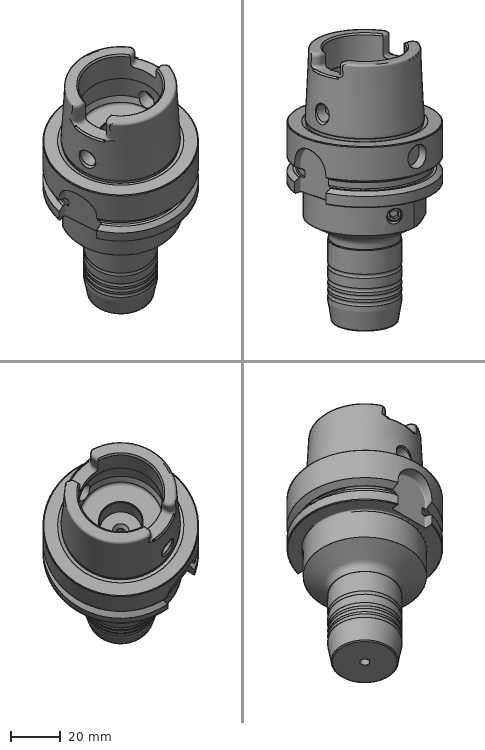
import cadquery as cq
import math


TOTAL_LENGTH = 116.9
FLANGE_TOP = 85.2
FLANGE_BOTTOM = 59.0
BODY_BOTTOM = 44.9
NOSE_STEP = 35.4

TAPER_MOUTH_RADIUS = 22.7
TAPER_BASE_RADIUS = 24.1
TAPER_BASE_Z = 87.2
TAPER_RIM_FILLET = 1.0
BAND_BOTTOM = 86.2
RELIEF_RADIUS = 23.7
RELIEF_DEPTH = 0.7
RELIEF_CONE_RADIUS = 24.4
RELIEF_MOUTH_RADIUS = 25.5
RELIEF_MOUTH_DEPTH = 0.4

FLANGE_RADIUS = 31.5
FLANGE_CHAMFER = 0.4
GROOVE_TOP = 70.6
GROOVE_BOTTOM = 64.0
GROOVE_RADIUS = 27.4
GROOVE_LEDGE_TOP = 68.9
GROOVE_LEDGE_BOTTOM = 65.3
GROOVE_FILLET = 0.5

BODY_RADIUS = 24.9
BODY_FILLET = 0.6
NECK_RADIUS = 14.6
NECK_FILLET = 3.3
NOSE_RADIUS = 15.0
NOSE_STEP_CHAMFER = 0.4
TIP_RADIUS = 13.6
TIP_TAPER_LENGTH = 8.8
TIP_CHAMFER = 0.5
RING_GROOVE_CENTRES = (12.0, 15.0, 18.0, 24.1)
RING_GROOVE_WIDTH = 1.8
RING_GROOVE_DEPTH = 0.4

BORE_RADIUS = 17.1
BORE_CHAMFER = 0.7
SHOULDER_Z = 103.7
UNDERCUT_RADIUS = 18.5
UNDERCUT_BOTTOM = 92.7
BORE_FLOOR_Z = 89.0
BORE_FLOOR_FILLET = 1.3
THREAD_RADIUS = 8.7
THREAD_CHAMFER = 0.4
THREAD_DEPTH = 9.4
COOLANT_RADIUS = 2.0
COOLANT_MOUTH_RADIUS = 3.4

NOTCH_HALF_WIDTH = 6.2
NOTCH_CORNER_RADIUS = 2.8
NOTCH_CORNER_Y = 18.0
NOTCH_FLARE_ANGLE = 27.0
NOTCH_FILLET = 1.5
NOTCH_RIM_FILLET = 1.4
FRONT_NOTCH_FLOOR = 107.0
BACK_NOTCH_FLOOR = 110.8
NOTCH_LIP_CHAMFER = 0.7
NOTCH_LIP_WIDTH = 14.7
NOTCH_REACH_X = 17.5
NOTCH_OUTER_Y = -FLANGE_RADIUS
NOTCH_INNER_Y = -NOTCH_CORNER_Y / 2

CROSS_HOLE_RADIUS = 3.7
CROSS_HOLE_Z = 94.1
CROSS_HOLE_SINK_START = 23.0
KEYWAY_HALF_WIDTH = 9.2
KEYWAY_TOP = 80.8
KEYWAY_FLOOR_Y = 26.4
KEYWAY_FILLET = 0.6
CHIP_HOLE_RADIUS = 5.0
CHIP_HOLE_Z = 78.1
CHIP_HOLE_DEPTH = 4.6
FLAT_DISTANCE = 23.0
FLAT_ANGLE = 212.4
FLAT_TOP = FLANGE_BOTTOM - BODY_FILLET

SCREW_HOLE_RADIUS = 3.3
SCREW_MOUTH_Y = 6.0
SCREW_Z = 52.1
SCREW_ANGLE = 143.0
SCREW_RECESS = 2.2
SCREW_LENGTH = 9.4
SCREW_CHAMFER = 0.6
SOCKET_ACROSS_FLATS = 3.4
SOCKET_DEPTH = 2.3

CONE_SLOPE = math.radians(30)
CLEARANCE = 11.7


def revolve_about_axis(outline):
    """Close an outline drawn in the XZ plane and turn it about Z."""
    return outline.close().revolve(360, (0, 0, 0), (0, 1, 0))


def turned_blank():
    """Outside of the holder, turned about Z, without its bore."""
    cone_run = 1 / math.tan(CONE_SLOPE)
    upper_ledge_radius = FLANGE_RADIUS - (GROOVE_TOP - GROOVE_LEDGE_TOP) * cone_run
    lower_ledge_radius = FLANGE_RADIUS - (GROOVE_LEDGE_BOTTOM - GROOVE_BOTTOM) * cone_run
    rim_z = TOTAL_LENGTH - TAPER_RIM_FILLET

    neck_turn = math.pi / 2 - CONE_SLOPE
    neck_setback = NECK_FILLET * math.tan(neck_turn / 2)
    neck_corner_z = BODY_BOTTOM - (BODY_RADIUS - NECK_RADIUS) * math.tan(CONE_SLOPE)
    neck_cone_end = (
        NECK_RADIUS + neck_setback * math.cos(CONE_SLOPE),
        neck_corner_z + neck_setback * math.sin(CONE_SLOPE),
    )

    outline = cq.Workplane("XZ").moveTo(0, 0).lineTo(TIP_RADIUS - TIP_CHAMFER, 0)
    outline = outline.lineTo(TIP_RADIUS, TIP_CHAMFER).lineTo(NOSE_RADIUS, TIP_TAPER_LENGTH)
    for centre in RING_GROOVE_CENTRES:
        outline = ring_groove(outline, centre)
    outline = (
        outline.lineTo(NOSE_RADIUS, NOSE_STEP - NOSE_STEP_CHAMFER)
        .lineTo(NECK_RADIUS, NOSE_STEP)
        .lineTo(NECK_RADIUS, neck_corner_z - neck_setback)
        .radiusArc(neck_cone_end, NECK_FILLET)
        .lineTo(BODY_RADIUS, BODY_BOTTOM)
        .lineTo(BODY_RADIUS, FLANGE_BOTTOM - BODY_FILLET)
        .radiusArc((BODY_RADIUS + BODY_FILLET, FLANGE_BOTTOM), BODY_FILLET)
        .lineTo(FLANGE_RADIUS - FLANGE_CHAMFER, FLANGE_BOTTOM)
        .lineTo(FLANGE_RADIUS, FLANGE_BOTTOM + FLANGE_CHAMFER)
        .lineTo(FLANGE_RADIUS, GROOVE_BOTTOM)
        .lineTo(lower_ledge_radius, GROOVE_LEDGE_BOTTOM)
        .lineTo(GROOVE_RADIUS + GROOVE_FILLET, GROOVE_LEDGE_BOTTOM)
        .radiusArc((GROOVE_RADIUS, GROOVE_LEDGE_BOTTOM + GROOVE_FILLET), GROOVE_FILLET)
        .lineTo(GROOVE_RADIUS, GROOVE_LEDGE_TOP - GROOVE_FILLET)
        .radiusArc((GROOVE_RADIUS + GROOVE_FILLET, GROOVE_LEDGE_TOP), GROOVE_FILLET)
        .lineTo(upper_ledge_radius, GROOVE_LEDGE_TOP)
        .lineTo(FLANGE_RADIUS, GROOVE_TOP)
        .lineTo(FLANGE_RADIUS, FLANGE_TOP - FLANGE_CHAMFER)
        .lineTo(FLANGE_RADIUS - FLANGE_CHAMFER, FLANGE_TOP)
        .lineTo(RELIEF_MOUTH_RADIUS, FLANGE_TOP)
        .lineTo(RELIEF_CONE_RADIUS, FLANGE_TOP - RELIEF_MOUTH_DEPTH)
        .lineTo(RELIEF_RADIUS, FLANGE_TOP - RELIEF_DEPTH)
        .lineTo(RELIEF_RADIUS, BAND_BOTTOM - (TAPER_BASE_RADIUS - RELIEF_RADIUS))
        .lineTo(TAPER_BASE_RADIUS, BAND_BOTTOM)
        .lineTo(TAPER_BASE_RADIUS, TAPER_BASE_Z)
        .lineTo(TAPER_MOUTH_RADIUS, rim_z)
        .radiusArc((TAPER_MOUTH_RADIUS - TAPER_RIM_FILLET, TOTAL_LENGTH), -TAPER_RIM_FILLET)
        .lineTo(0, TOTAL_LENGTH)
    )
    return revolve_about_axis(outline)


def ring_groove(outline, centre):
    """Continue a nose outline upwards through one round-bottomed ring groove."""
    half = RING_GROOVE_WIDTH / 2
    radius = (half**2 + RING_GROOVE_DEPTH**2) / (2 * RING_GROOVE_DEPTH)
    bottom = (NOSE_RADIUS - RING_GROOVE_DEPTH, centre)
    return (
        outline.lineTo(NOSE_RADIUS, centre - half)
        .radiusArc(bottom, radius)
        .radiusArc((NOSE_RADIUS, centre + half), radius)
    )


def bore():
    """Undercut clamping bore, threaded seat and coolant hole, open at both ends of the holder."""
    thread_bottom = BORE_FLOOR_Z - THREAD_DEPTH
    undercut = UNDERCUT_RADIUS - BORE_RADIUS
    countersink = COOLANT_MOUTH_RADIUS - COOLANT_RADIUS
    outline = (
        cq.Workplane("XZ").moveTo(0, 0)
        .lineTo(COOLANT_RADIUS, 0)
        .lineTo(COOLANT_RADIUS, thread_bottom - countersink)
        .lineTo(COOLANT_MOUTH_RADIUS, thread_bottom)
        .lineTo(THREAD_RADIUS, thread_bottom)
        .lineTo(THREAD_RADIUS, BORE_FLOOR_Z - THREAD_CHAMFER)
        .lineTo(THREAD_RADIUS + THREAD_CHAMFER, BORE_FLOOR_Z)
        .lineTo(BORE_RADIUS - BORE_FLOOR_FILLET, BORE_FLOOR_Z)
        .radiusArc((BORE_RADIUS, BORE_FLOOR_Z + BORE_FLOOR_FILLET), -BORE_FLOOR_FILLET)
        .lineTo(UNDERCUT_RADIUS, UNDERCUT_BOTTOM)
        .lineTo(UNDERCUT_RADIUS, SHOULDER_Z - undercut * math.tan(CONE_SLOPE))
        .lineTo(BORE_RADIUS, SHOULDER_Z)
        .lineTo(BORE_RADIUS, TOTAL_LENGTH - BORE_CHAMFER)
        .lineTo(BORE_RADIUS + BORE_CHAMFER, TOTAL_LENGTH)
        .lineTo(0, TOTAL_LENGTH)
    )
    return revolve_about_axis(outline)


def notch_plan(floor_z):
    """Plan of a notch on the -Y side, with rounded corners flaring outwards, drawn at floor_z."""
    flare = math.radians(NOTCH_FLARE_ANGLE)
    corner_x = NOTCH_HALF_WIDTH + NOTCH_CORNER_RADIUS

    def on_corner(angle):
        return (
            corner_x + NOTCH_CORNER_RADIUS * math.cos(angle),
            -NOTCH_CORNER_Y - NOTCH_CORNER_RADIUS * math.sin(angle),
        )

    flare_start = math.pi / 2 - flare
    start_x, start_y = on_corner(flare_start)
    middle_x, middle_y = on_corner((math.pi + flare_start) / 2)
    flare_end_y = start_y + (NOTCH_REACH_X - start_x) * math.tan(flare)
    return (
        cq.Workplane("XY", origin=(0, 0, floor_z))
        .moveTo(NOTCH_HALF_WIDTH, NOTCH_INNER_Y)
        .lineTo(NOTCH_HALF_WIDTH, -NOTCH_CORNER_Y)
        .threePointArc((middle_x, middle_y), (start_x, start_y))
        .lineTo(NOTCH_REACH_X, flare_end_y)
        .lineTo(NOTCH_REACH_X, NOTCH_OUTER_Y)
        .lineTo(-NOTCH_REACH_X, NOTCH_OUTER_Y)
        .lineTo(-NOTCH_REACH_X, flare_end_y)
        .lineTo(-start_x, start_y)
        .threePointArc((-middle_x, middle_y), (-NOTCH_HALF_WIDTH, -NOTCH_CORNER_Y))
        .lineTo(-NOTCH_HALF_WIDTH, NOTCH_INNER_Y)
        .close()
    )


def notch_wall_edges(z):
    """Selector of the edges along both walls of a notch at height z."""
    margin = NOTCH_FILLET / 2
    return cq.selectors.BoxSelector(
        (margin - NOTCH_REACH_X, NOTCH_OUTER_Y + margin, z - margin),
        (NOTCH_REACH_X - margin, NOTCH_INNER_Y - margin, z + margin),
    )


def drive_notch(floor_z):
    """Notch through the -Y wall of the taper mouth, with a filleted floor and rounded rims."""
    depth = TOTAL_LENGTH - floor_z
    notch = notch_plan(floor_z).extrude(depth)
    slab_length = NOTCH_INNER_Y - NOTCH_OUTER_Y
    slab = (
        cq.Workplane("XY", origin=(0, NOTCH_OUTER_Y, floor_z))
        .box(2 * NOTCH_REACH_X, slab_length, depth, centered=(True, False, False))
    )
    walls = slab.cut(notch).edges(notch_wall_edges(TOTAL_LENGTH)).fillet(NOTCH_RIM_FILLET)
    rims = slab.cut(walls).cut(notch)
    return notch.edges(notch_wall_edges(floor_z)).fillet(NOTCH_FILLET).union(rims)


def notch_lip(floor_z):
    """Cutter that chamfers the outer edge of a notch floor on the -Y side."""
    taper_slope = (TAPER_BASE_RADIUS - TAPER_MOUTH_RADIUS) / (TOTAL_LENGTH - TAPER_BASE_Z)
    edge_radius = TAPER_MOUTH_RADIUS + (TOTAL_LENGTH - floor_z) * taper_slope
    ring = revolve_about_axis(
        cq.Workplane("XZ")
        .moveTo(edge_radius - NOTCH_LIP_CHAMFER, floor_z)
        .lineTo(edge_radius + NOTCH_LIP_CHAMFER, floor_z - 2 * NOTCH_LIP_CHAMFER)
        .lineTo(edge_radius + NOTCH_LIP_CHAMFER, floor_z)
    )
    span = (
        cq.Workplane("XY", origin=(0, -FLANGE_RADIUS, 0))
        .box(NOTCH_LIP_WIDTH, FLANGE_RADIUS, TOTAL_LENGTH, centered=(True, False, False))
    )
    return ring.intersect(span)


def cross_hole():
    """Hole through the -Y wall of the taper, with a 45 degree countersink at its mouth."""
    reach = TAPER_BASE_RADIUS
    sink_radius = CROSS_HOLE_RADIUS + reach - CROSS_HOLE_SINK_START
    outline = (
        cq.Workplane("YZ", origin=(0, 0, CROSS_HOLE_Z))
        .lineTo(0, CROSS_HOLE_RADIUS)
        .lineTo(-CROSS_HOLE_SINK_START, CROSS_HOLE_RADIUS)
        .lineTo(-reach, sink_radius)
        .lineTo(-reach, 0)
        .close()
    )
    return outline.revolve(360, (0, 0, 0), (1, 0, 0))


def keyway():
    """Round-topped keyway in the -Y side of the flange, open at the flange bottom."""
    centre_z = KEYWAY_TOP - KEYWAY_HALF_WIDTH
    bottom = FLANGE_BOTTOM
    return (
        cq.Workplane("XZ", origin=(0, -KEYWAY_FLOOR_Y, 0))
        .moveTo(-KEYWAY_HALF_WIDTH, bottom)
        .lineTo(-KEYWAY_HALF_WIDTH, centre_z)
        .threePointArc((0, KEYWAY_TOP), (KEYWAY_HALF_WIDTH, centre_z))
        .lineTo(KEYWAY_HALF_WIDTH, bottom)
        .close()
        .extrude(CLEARANCE)
        .faces(">Y").edges("not <Z").fillet(KEYWAY_FILLET)
    )


def chip_hole():
    """Blind hole in the -X side of the flange."""
    return (
        cq.Workplane("YZ", origin=(-FLANGE_RADIUS + CHIP_HOLE_DEPTH, 0, CHIP_HOLE_Z))
        .circle(CHIP_HOLE_RADIUS)
        .extrude(-CLEARANCE)
    )


def screw_plane():
    """Plane on the body surface at the screw hole mouth, with its normal pointing inwards."""
    angle = math.radians(SCREW_ANGLE)
    mouth_x = -math.sqrt(BODY_RADIUS**2 - SCREW_MOUTH_Y**2)
    return cq.Plane(
        origin=(mouth_x, SCREW_MOUTH_Y, SCREW_Z),
        xDir=(0, 0, 1),
        normal=(-math.cos(angle), -math.sin(angle), 0),
    )


def screw_hole():
    """Blind slanting hole in the body, as deep as the far end of the screw."""
    return (
        cq.Workplane(screw_plane())
        .workplane(offset=-CLEARANCE)
        .circle(SCREW_HOLE_RADIUS)
        .extrude(CLEARANCE + SCREW_RECESS + SCREW_LENGTH)
    )


def build_screw():
    """Set screw that fills the bottom of its hole, with a hexagon socket facing out."""
    head = cq.Workplane(screw_plane()).workplane(offset=SCREW_RECESS)
    head_face = cq.selectors.NearestToPointSelector(head.plane.origin.toTuple())
    blank = head.circle(SCREW_HOLE_RADIUS).extrude(SCREW_LENGTH)
    blank = blank.faces(head_face).chamfer(SCREW_CHAMFER)
    socket = head.polygon(6, SOCKET_ACROSS_FLATS / math.cos(math.pi / 6)).extrude(SOCKET_DEPTH)
    return blank.cut(socket)


def wrench_flat():
    """Cutter for the flat on the side of the body."""
    height = FLAT_TOP - NOSE_STEP
    return (
        cq.Workplane("XY")
        .box(CLEARANCE, 2 * BODY_RADIUS, height, centered=(False, True, False))
        .translate((FLAT_DISTANCE, 0, NOSE_STEP))
        .rotate((0, 0, 0), (0, 0, 1), FLAT_ANGLE)
    )


def turned_about(shape):
    """The same shape on the +Y side."""
    return shape.rotate((0, 0, 0), (0, 0, 1), 180)


def build_holder():
    """The holder with its bore and every cut in its outside."""
    holder = turned_blank().cut(bore())
    holder = holder.cut(drive_notch(FRONT_NOTCH_FLOOR))
    holder = holder.cut(turned_about(drive_notch(BACK_NOTCH_FLOOR)))
    holder = holder.cut(notch_lip(FRONT_NOTCH_FLOOR))
    holder = holder.cut(turned_about(notch_lip(BACK_NOTCH_FLOOR)))
    holder = holder.cut(cross_hole()).cut(turned_about(cross_hole()))
    holder = holder.cut(keyway()).cut(turned_about(keyway()))
    return holder.cut(chip_hole()).cut(wrench_flat()).cut(screw_hole())


holder = build_holder()
screw = build_screw()

result = cq.Compound.makeCompound([holder.val(), screw.val()])